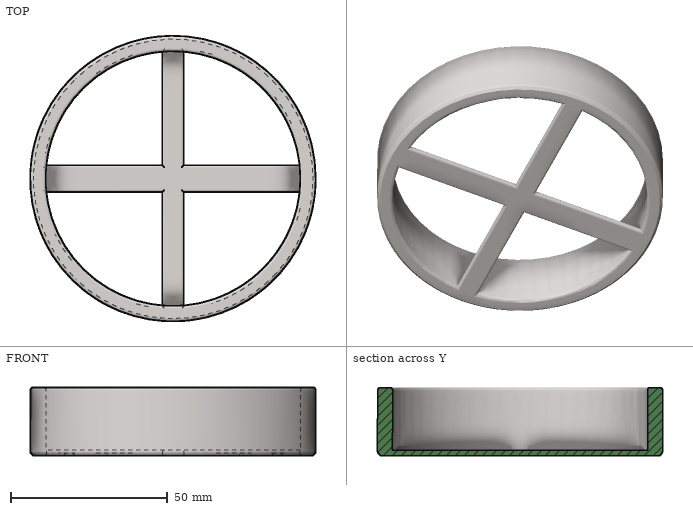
import cadquery as cq

outer_diameter = 91.5
bore_diameter = 81.5
height = 22.0
edge_round = 1.0
bottom_chamfer = 1.0

x_spoke_width = 8.7
y_spoke_width = 6.95
spoke_thickness = 1.9
spoke_round = 0.8
wall_overlap = 1.8


def make_ring():
    """Tube with a chamfered outer bottom rim and its other rims rounded."""
    bore = cq.Workplane("XY").circle(bore_diameter / 2).extrude(height)
    tube = cq.Workplane("XY").circle(outer_diameter / 2).extrude(height).cut(bore)
    outer_rim = cq.selectors.RadiusNthSelector(-1)
    tube = tube.faces("<Z").edges(outer_rim).chamfer(bottom_chamfer)

    bore_rims = tube.edges("%CIRCLE").edges(cq.selectors.RadiusNthSelector(0))
    rounded_rims = tube.edges("%CIRCLE").edges("not <Z").add(bore_rims.edges("<Z"))
    return rounded_rims.fillet(edge_round)


def make_spoke(length_direction, length, width):
    """Bar through the centre with rounded long edges."""
    size = (length, width) if length_direction == "X" else (width, length)
    bar = cq.Workplane("XY").box(*size, spoke_thickness, centered=(True, True, False))
    return bar.edges("|" + length_direction).fillet(spoke_round)


spoke_length = bore_diameter + 2 * wall_overlap
x_spoke = make_spoke("X", spoke_length, x_spoke_width)
y_spoke = make_spoke("Y", spoke_length, y_spoke_width)
result = make_ring().union(x_spoke).union(y_spoke)